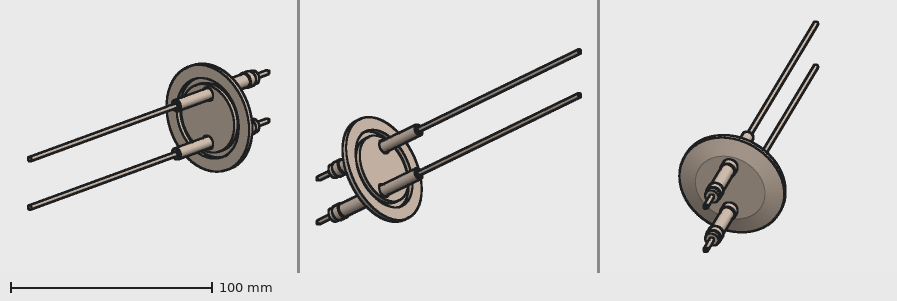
import cadquery as cq
import math


FLANGE_DIAMETER = 54.86
RIM_THICKNESS = 2.6
CLAMP_ANGLE = 15.0
FLANGE_THICKNESS = 5.08

GROOVE_OUTER_DIAMETER = 41.3
GROOVE_INNER_DIAMETER = 35.1
GROOVE_DEPTH = 2.6

CONDUCTOR_SPACING = 25.4
CONDUCTOR_DIAMETER = 2.4
CONDUCTOR_LENGTH = 179.07
CONDUCTOR_BACK_Y = 45.5
TIP_CHAMFER_RADIAL = 0.4
TIP_CHAMFER_LENGTH = 1.1

SLEEVE_DIAMETER = 5.9
SLEEVE_LENGTH = 24.0
SLEEVE_CHAMFER = 0.5
WELL_DIAMETER = 7.0
WELL_DEPTH = GROOVE_DEPTH

INSULATOR_DIAMETER = 7.1
INSULATOR_END_Y = 34.7
COLLAR_DIAMETER = 7.9
COLLAR_CHAMFER = 0.3
WELD_COLLAR_END_Y = 9.4
END_COLLAR_START_Y = 27.6
END_COLLAR_LENGTH = 4.6


def cylinder(diameter, start_y, end_y):
    """Cylinder on the Y axis between two Y positions."""
    plane = cq.Workplane("XZ", origin=(0, start_y, 0))
    return plane.circle(diameter / 2).extrude(start_y - end_y)


def flange():
    """Disc with a straight rim and a conical clamping surface behind it."""
    rim_radius = FLANGE_DIAMETER / 2
    cone_height = FLANGE_THICKNESS - RIM_THICKNESS
    back_radius = rim_radius - cone_height / math.tan(math.radians(CLAMP_ANGLE))
    half_section = (
        cq.Workplane("XY")
        .lineTo(rim_radius, 0)
        .lineTo(rim_radius, RIM_THICKNESS)
        .lineTo(back_radius, FLANGE_THICKNESS)
        .lineTo(0, FLANGE_THICKNESS)
        .close()
    )
    return half_section.revolve(360, (0, 0, 0), (0, 1, 0))


def ring_groove():
    """Flat-bottomed ring cut into the sealing face."""
    outer = cylinder(GROOVE_OUTER_DIAMETER, 0, GROOVE_DEPTH)
    return outer.cut(cylinder(GROOVE_INNER_DIAMETER, 0, GROOVE_DEPTH))


def conductor():
    """Long rod with a tapered tip at its back end."""
    rod = cylinder(CONDUCTOR_DIAMETER, CONDUCTOR_BACK_Y - CONDUCTOR_LENGTH, CONDUCTOR_BACK_Y)
    tip_edges = rod.faces(">Y").edges().vals()
    tapered = rod.val().chamfer(TIP_CHAMFER_LENGTH, TIP_CHAMFER_RADIAL, tip_edges)
    return cq.Workplane(tapered)


def sleeve():
    """Sleeve around the conductor, chamfered at its free end."""
    body = cylinder(SLEEVE_DIAMETER, -SLEEVE_LENGTH, WELL_DEPTH)
    return body.faces("<Y").edges().chamfer(SLEEVE_CHAMFER)


def insulator():
    """Insulator behind the flange with a weld collar and an end collar."""
    body = cylinder(INSULATOR_DIAMETER, WELL_DEPTH, INSULATOR_END_Y)
    weld_collar = cylinder(COLLAR_DIAMETER, WELL_DEPTH, WELD_COLLAR_END_Y)
    weld_collar = weld_collar.faces(">Y").edges().chamfer(COLLAR_CHAMFER)
    end_collar_back_y = END_COLLAR_START_Y + END_COLLAR_LENGTH
    end_collar = cylinder(COLLAR_DIAMETER, END_COLLAR_START_Y, end_collar_back_y)
    end_collar = end_collar.edges().chamfer(COLLAR_CHAMFER)
    return body.union(weld_collar).union(end_collar)


def feedthrough():
    """One complete conductor with its sleeve and insulator, on the Y axis."""
    return insulator().union(sleeve()).union(conductor())


result = flange().cut(ring_groove())
for z in (-CONDUCTOR_SPACING / 2, CONDUCTOR_SPACING / 2):
    well = cylinder(WELL_DIAMETER, 0, WELL_DEPTH).translate((0, 0, z))
    result = result.cut(well).union(feedthrough().translate((0, 0, z)))